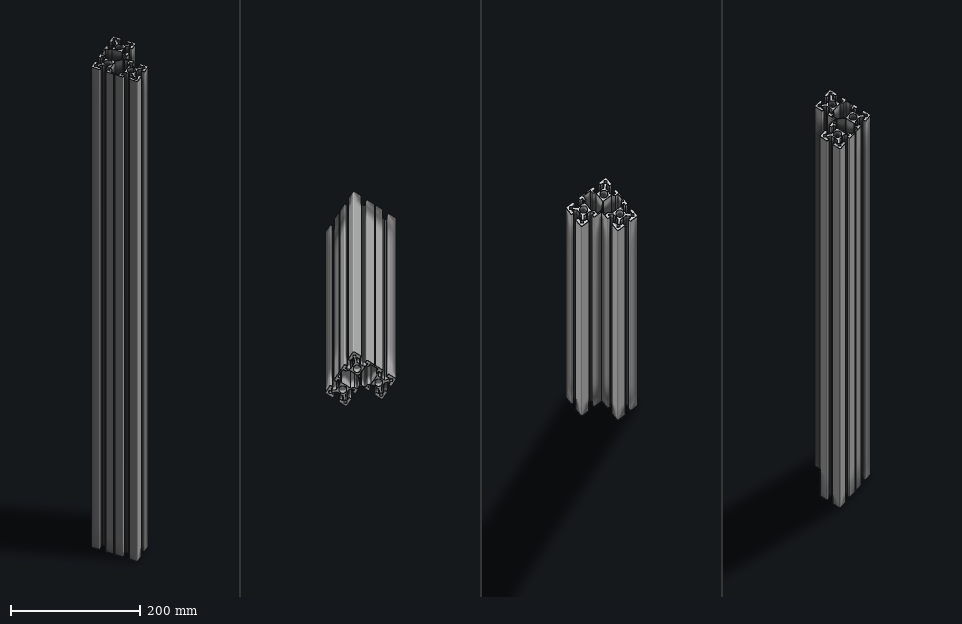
import cadquery as cq

length = 1000.0
module = 40.0
half = module / 2
size = 2 * module
corner_radius = 2.0

slot_opening = 10.0
slot_inner_width = 19.0
lip_thickness = 5.0
lip_rounding = 1.0
core_half = 8.5
slot_floor_width = 11.0

bore_diameter = 12.0
wall = 2.5
chamber_half = 7.0
inner_wall = 2.0
web_half = 0.8
pocket_diameter = 5.0
pocket_inset = 6.0

groove_width = 2.0
groove_depth = 1.0

low = half
high = module + half
cells = [(low, low), (high, low), (low, high)]

near_end = pocket_inset
cell_end = module - pocket_inset
far_end = size - pocket_inset
pocket_centres = [
    (near_end, near_end),
    (far_end, near_end), (far_end, cell_end),
    (near_end, far_end), (cell_end, far_end),
]

slots = [
    (cells[0], 0),
    (cells[0], -90),
    (cells[1], 0),
    (cells[1], 90),
    (cells[1], 180),
    (cells[2], -90),
    (cells[2], 90),
    (cells[2], 180),
]


def prism(outline):
    """Closed polygon extruded over the full length of the bar."""
    return cq.Workplane("XY").polyline(outline).close().extrude(length)


def l_body():
    """Solid L-shaped bar with rounded outer corners and a sharp inner corner."""
    outline = [(0, 0), (size, 0), (size, module), (module, module), (module, size), (0, size)]
    body = prism(outline)
    inner_corner = cq.selectors.BoxSelector(
        (module - half, module - half, 0), (module + half, module + half, length)
    )
    upright = cq.selectors.ParallelDirSelector(cq.Vector(0, 0, 1))
    outer_edges = cq.selectors.SubtractSelector(upright, inner_corner)
    return body.edges(outer_edges).fillet(corner_radius)


def v_groove():
    """V-groove cut toward +Y from the line y = 0."""
    return prism([(-groove_width / 2, 0), (groove_width / 2, 0), (0, groove_depth)])


def t_slot(centre, angle):
    """T-slot opening through the -Y face of a cell, turned about the cell centre."""
    mouth = slot_opening / 2
    inner = slot_inner_width / 2
    floor = slot_floor_width / 2
    face_y = -half
    lip_y = face_y + lip_thickness
    floor_y = -core_half
    shoulder_y = floor_y - (inner - floor)
    slot = (
        cq.Workplane("XY")
        .moveTo(-mouth - lip_rounding, face_y)
        .lineTo(mouth + lip_rounding, face_y)
        .radiusArc((mouth, face_y + lip_rounding), lip_rounding)
        .lineTo(mouth, lip_y)
        .lineTo(inner, lip_y)
        .lineTo(inner, shoulder_y)
        .lineTo(floor, floor_y)
        .lineTo(-floor, floor_y)
        .lineTo(-inner, shoulder_y)
        .lineTo(-inner, lip_y)
        .lineTo(-mouth, lip_y)
        .lineTo(-mouth, face_y + lip_rounding)
        .radiusArc((-mouth - lip_rounding, face_y), lip_rounding)
        .close()
        .extrude(length)
    )
    slot = slot.union(v_groove().translate((0, floor_y, 0)))
    return slot.rotate((0, 0, 0), (0, 0, 1), angle).translate((*centre, 0))


def chamber():
    """Hollow between the corner cell and the cell above it, bounded by the diagonal web."""
    core_gap = half - core_half
    taper = core_gap - chamber_half
    near = core_gap
    far = half + core_half
    end = module - inner_wall
    top = module + core_gap
    outline = [
        (wall, module - chamber_half), (near - taper, module - chamber_half),
        (near, module - core_gap), (module - core_gap - web_half, module - core_gap),
        (end - web_half, end),
        (end, module), (end, module + chamber_half),
        (far + taper, module + chamber_half), (far, top), (near, top),
        (near - taper, module + chamber_half), (wall, module + chamber_half),
    ]
    return prism(outline)


def mirrored(solid):
    """Copy of a full-length solid reflected across the diagonal plane x = y."""
    return solid.rotate((0, 0, 0), (1, 1, 0), 180).translate((0, 0, length))


result = l_body()
for centre, angle in slots:
    result = result.cut(t_slot(centre, angle))

face_groove = v_groove().translate((module, 0, 0))
for hollow in (chamber(), face_groove):
    result = result.cut(hollow).cut(mirrored(hollow))

bores = cq.Workplane("XY").pushPoints(cells).circle(bore_diameter / 2).extrude(length)
pockets = cq.Workplane("XY").pushPoints(pocket_centres).circle(pocket_diameter / 2).extrude(length)
result = result.cut(bores).cut(pockets)